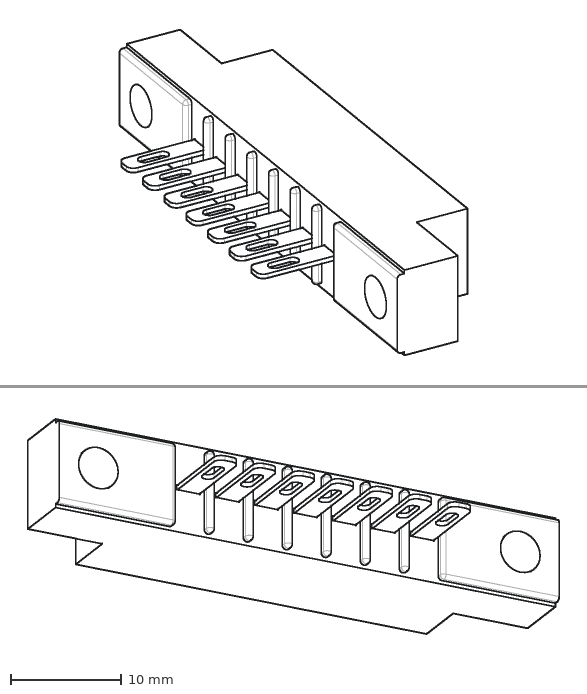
import cadquery as cq

length = 50.75
height = 8.75
overall_depth = 18.9
shoulder_depth = 5.6
nose_length = 35.65
nose_depth = 5.35

hole_diameter = 4.0
hole_spacing = 42.85

contact_count = 7
pitch = 3.95
relief_height = 0.75
rib_width = 0.75
relief_radius = rib_width / 2
relief_inset = 0.35
relief_span = height - 2 * relief_inset

contact_width = 2.25
contact_thickness = 0.45
exposed_length = overall_depth - shoulder_depth - nose_depth
tip_radius = 0.75
eye_width = 1.15
eye_length = 3.1
eye_to_tip = 1.5
seat_depth = 2.05
pocket_width = 2.4


def make_block():
    """T-shaped block: a long shoulder bar with a shorter nose behind it."""
    shoulder = cq.Workplane("XY").box(length, shoulder_depth, height, centered=(True, False, True))
    nose = cq.Workplane("XY").box(nose_length, nose_depth, height, centered=(True, False, True))
    return shoulder.union(nose.translate((0, shoulder_depth, 0)))


def make_rib(x):
    """Upright rib with a straight base and a fully rounded crest and ends."""
    crest_y = relief_radius - relief_height
    axis_length = relief_span - rib_width
    base = cq.Workplane("XZ").slot2D(relief_span, rib_width, 90).extrude(-crest_y)
    crest = cq.Workplane("XY").circle(relief_radius).extrude(axis_length / 2, both=True)
    for end in (-1, 1):
        dome = cq.Workplane("XY").sphere(relief_radius)
        crest = crest.union(dome.translate((0, 0, end * axis_length / 2)))
    return base.union(crest.translate((0, crest_y, 0))).translate((x, 0, 0))


def make_pad(side):
    """End pad, rounded at its inner end and flush with the block at its outer end."""
    inner_x = contact_count * pitch / 2 - relief_radius
    pad_length = length / 2 - inner_x
    pad = cq.Workplane("XZ").rect(pad_length, relief_span).extrude(relief_height)
    inner_face, outer_face = ("<X", ">X") if side > 0 else (">X", "<X")
    pad = pad.faces(inner_face).edges("|Y").fillet(relief_radius)
    pad = pad.faces("<Y").edges(f"not {outer_face}").fillet(relief_radius)
    return pad.translate((side * (inner_x + pad_length / 2), 0, 0))


def contact_x(index):
    """Position of a contact in a row centred on the housing."""
    return (index - (contact_count - 1) / 2) * pitch


def make_pocket(x):
    """Recess in the front face that receives the root of one contact."""
    return (
        cq.Workplane("XY")
        .box(pocket_width, seat_depth, contact_thickness, centered=(True, False, True))
        .translate((x, 0, 0))
    )


def make_housing():
    """Block with ribs between neighbouring contacts, end pads, mounting holes and contact pockets."""
    body = make_block()
    for index in range(contact_count - 1):
        body = body.union(make_rib(contact_x(index) + pitch / 2))
    for side in (-1, 1):
        body = body.union(make_pad(side))
    holes = (
        cq.Workplane("XZ", origin=(0, -relief_height, 0))
        .pushPoints([(-hole_spacing / 2, 0), (hole_spacing / 2, 0)])
        .circle(hole_diameter / 2)
        .extrude(-(relief_height + shoulder_depth))
    )
    body = body.cut(holes)
    for index in range(contact_count):
        body = body.cut(make_pocket(contact_x(index)))
    return body


def make_contact(x):
    """Flat solder tail seated in its pocket, with rounded tip corners and a slotted eye."""
    blade = (
        cq.Workplane("XY")
        .box(contact_width, exposed_length + seat_depth, contact_thickness)
        .translate((0, (seat_depth - exposed_length) / 2, 0))
        .edges("|Z and <Y")
        .fillet(tip_radius)
    )
    eye_y = -exposed_length + eye_to_tip + eye_length / 2
    eye = (
        cq.Workplane("XY")
        .center(0, eye_y)
        .slot2D(eye_length, eye_width, 90)
        .extrude(contact_thickness, both=True)
    )
    return blade.cut(eye).translate((x, 0, 0))


housing = make_housing()
contacts = [make_contact(contact_x(index)) for index in range(contact_count)]

result = cq.Compound.makeCompound([housing.val(), *[contact.val() for contact in contacts]])